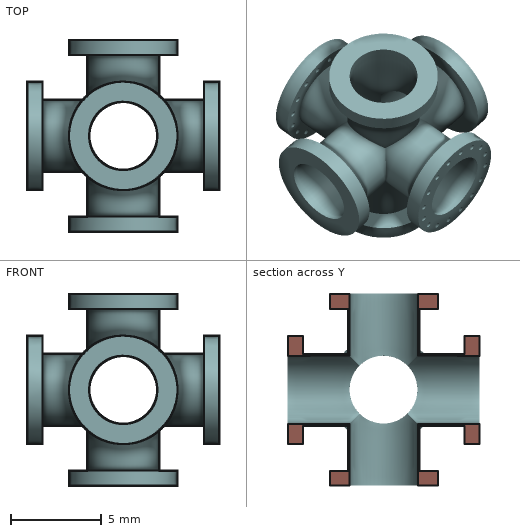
import cadquery as cq

overall_length = 10.62
tube_diameter = 4.0
bore_diameter = 3.75
flange_diameter = 6.0
flange_thickness = 0.85

bolt_count = 16
bolt_diameter = 0.31
bolt_circle_diameter = 5.14
bolt_angle_step = 360.0 / bolt_count

half_length = overall_length / 2
AXIS_PLANES = ("YZ", "XZ", "XY")


def axial_cylinder(plane, diameter, start, length):
    """Cylinder on the plane's normal axis, starting at the given distance from the origin."""
    return cq.Workplane(plane).workplane(offset=start).circle(diameter / 2).extrude(length)


def flanged_pipe(plane):
    """Solid straight pipe with a flange at each end."""
    tube = axial_cylinder(plane, tube_diameter, -half_length, overall_length)
    near_flange = axial_cylinder(plane, flange_diameter, -half_length, flange_thickness)
    far_flange = axial_cylinder(plane, flange_diameter, half_length - flange_thickness, flange_thickness)
    return tube.union(near_flange).union(far_flange)


def bolt_holes(start):
    """Ring of hole cutters through one X flange, straddling the Y and Z axes."""
    return (
        cq.Workplane("YZ")
        .workplane(offset=start)
        .polarArray(bolt_circle_diameter / 2, bolt_angle_step / 2, 360, bolt_count)
        .circle(bolt_diameter / 2)
        .extrude(flange_thickness)
    )


result = cq.Workplane("XY")
for plane in AXIS_PLANES:
    result = result.union(flanged_pipe(plane))
for plane in AXIS_PLANES:
    result = result.cut(axial_cylinder(plane, bore_diameter, -half_length, overall_length))

for flange_start in (-half_length, half_length - flange_thickness):
    result = result.cut(bolt_holes(flange_start))